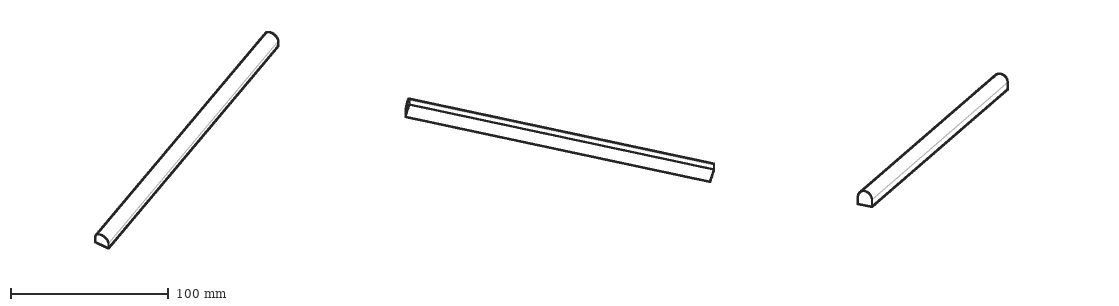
import cadquery as cq

length = 200.0
width = 10.0
height = 10.0
crown_radius = width / 2
wall_height = height - crown_radius

profile = (
    cq.Workplane("XZ")
    .moveTo(-width / 2, 0)
    .lineTo(width / 2, 0)
    .lineTo(width / 2, wall_height)
    .threePointArc((0, height), (-width / 2, wall_height))
    .close()
)

result = profile.extrude(length / 2, both=True)